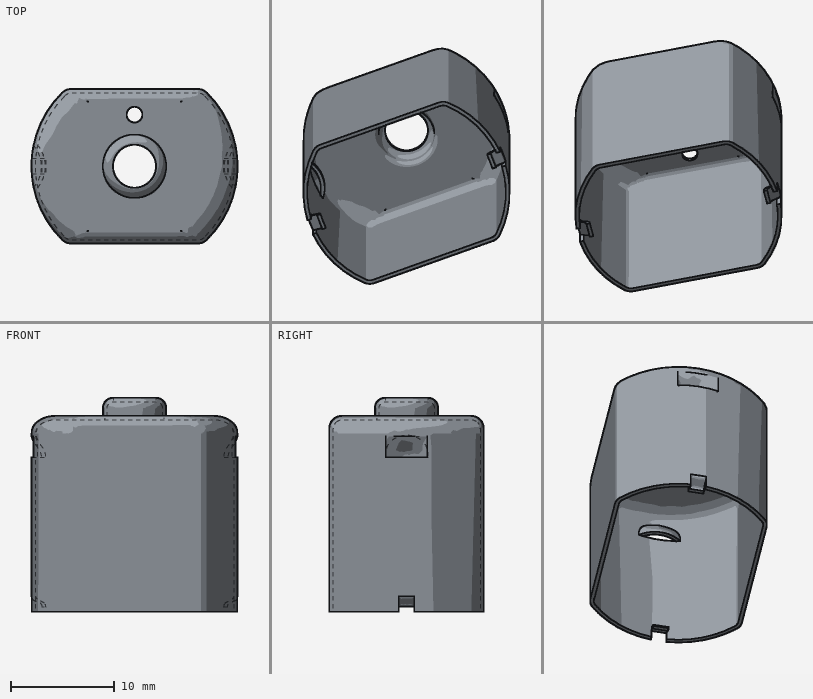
import cadquery as cq
import math

SHEET = 0.375
ROUND_RADIUS = 10.0
FLAT_HALF_WIDTH = 7.5
CAN_HEIGHT = 19.0
CORNER_RADIUS = 1.25
FLAT_SHOULDER = CORNER_RADIUS
ROUND_SHOULDER_WIDTH = 2.3
ROUND_SHOULDER_HEIGHT = 1.7

BOSS_DIAMETER = 6.15
BOSS_TOP = 20.75
BOSS_ROUNDING = 1.0
BOSS_INNER_FLARE = 0.5
SMALL_HOLE_DIAMETER = 1.5
SMALL_HOLE_Y = 5.0

LOUVRE_WIDTH = 4.0
LOUVRE_BOTTOM = 15.0
LOUVRE_TOP = 17.0
LOUVRE_DEPTH = 0.95
LOUVRE_UPPER_BEND_Z = 16.4
LOUVRE_UPPER_BEND_DEPTH = 0.28
LOUVRE_LOWER_BEND_Z = 15.7
LOUVRE_LOWER_BEND_DEPTH = 0.75

TAB_WIDTH = 1.5
TAB_TOP = 1.5
TAB_BOTTOM = 0.5
TAB_DEPTH = 1.0

BEND_LIFT = 0.4


def straight_walls(inset):
    """Prism with two round sides, two flat sides and sharp corners."""
    radius = ROUND_RADIUS - inset
    half_width = FLAT_HALF_WIDTH - inset
    flat_end = math.sqrt(radius**2 - half_width**2)
    return (
        cq.Workplane("XY")
        .moveTo(-flat_end, -half_width)
        .lineTo(flat_end, -half_width)
        .threePointArc((radius, 0), (flat_end, half_width))
        .lineTo(-flat_end, half_width)
        .threePointArc((-radius, 0), (-flat_end, -half_width))
        .close()
        .extrude(CAN_HEIGHT - inset)
    )


def round_shoulder_limit(inset):
    """Turned envelope with an elliptical shoulder over the round sides."""
    radius = ROUND_RADIUS - inset
    top = CAN_HEIGHT - inset
    width = ROUND_SHOULDER_WIDTH - inset
    height = ROUND_SHOULDER_HEIGHT - inset
    return (
        cq.Workplane("XZ")
        .lineTo(radius, 0)
        .lineTo(radius, top - height)
        .ellipseArc(width, height, 0, 90, startAtCurrent=True)
        .lineTo(0, top)
        .close()
        .revolve(360, (0, 0), (0, 1))
    )


def flat_shoulder_limit(inset):
    """Long bar whose top edges carry the shoulder of the flat sides."""
    top = CAN_HEIGHT - inset
    return (
        cq.Workplane("XY")
        .box(2 * ROUND_RADIUS, 2 * (FLAT_HALF_WIDTH - inset), top, centered=(True, True, False))
        .edges("|X and >Z")
        .fillet(FLAT_SHOULDER - inset)
    )


def envelope(inset):
    """Solid can shape, pulled in on its sides and top by the inset."""
    limited = (
        straight_walls(inset)
        .intersect(round_shoulder_limit(inset))
        .intersect(flat_shoulder_limit(inset))
    )
    return limited.edges("|Z").fillet(CORNER_RADIUS - inset)


def boss_form(inset):
    """Round-topped bearing boss about Z, standing on the underside of the can top."""
    ceiling = CAN_HEIGHT - SHEET
    return (
        cq.Workplane("XY", origin=(0, 0, ceiling))
        .circle(BOSS_DIAMETER / 2 - inset)
        .extrude(BOSS_TOP - inset - ceiling)
        .faces(">Z")
        .edges()
        .fillet(BOSS_ROUNDING - inset)
    )


def add_bearing_boss(can):
    """Hollow boss whose bore flares out smoothly where it meets the ceiling."""
    can = can.union(boss_form(0)).cut(boss_form(SHEET))
    ceiling = CAN_HEIGHT - SHEET
    bore_radius = BOSS_DIAMETER / 2 - SHEET
    flare_radius = bore_radius + BOSS_INNER_FLARE
    flare_top = ceiling + BOSS_INNER_FLARE
    flare = (
        cq.Workplane("XZ")
        .moveTo(0, ceiling)
        .lineTo(flare_radius, ceiling)
        .radiusArc((bore_radius, flare_top), BOSS_INNER_FLARE)
        .lineTo(0, flare_top)
        .close()
        .revolve(360, (0, 0), (0, 1))
    )
    bearing_hole = upright_cylinder(BOSS_DIAMETER - 2 * BOSS_ROUNDING, 0)
    return can.cut(flare).cut(bearing_hole)


def upright_cylinder(diameter, y):
    """Cutter through the top of the can."""
    return (
        cq.Workplane("XY", origin=(0, y, CAN_HEIGHT / 2))
        .circle(diameter / 2)
        .extrude(CAN_HEIGHT)
    )


def chord_distance(half_width):
    """Distance from the can axis to a chord across a round side."""
    return math.sqrt(ROUND_RADIUS**2 - half_width**2)


def louvre_form(skin):
    """Pressed-in volume of the +X louvre, enlarged inward by the skin thickness.

    Every level has the same mouth chord, bowed deeper toward the bottom.
    """
    half_width = LOUVRE_WIDTH / 2 + skin
    mouth_x = chord_distance(half_width)
    outside_x = ROUND_RADIUS + SHEET
    lift = BEND_LIFT * skin
    levels = [
        (LOUVRE_BOTTOM, LOUVRE_DEPTH),
        (LOUVRE_LOWER_BEND_Z + lift, LOUVRE_LOWER_BEND_DEPTH),
        (LOUVRE_UPPER_BEND_Z + lift, LOUVRE_UPPER_BEND_DEPTH),
        (LOUVRE_TOP + lift, 0),
    ]
    sections = []
    for z, depth in levels:
        outline = (
            cq.Workplane("XY", origin=(0, 0, z))
            .moveTo(outside_x, -half_width)
            .lineTo(outside_x, half_width)
            .lineTo(mouth_x, half_width)
            .threePointArc((ROUND_RADIUS - depth - skin, 0), (mouth_x, -half_width))
            .close()
        )
        sections.append(outline.val())
    return cq.Workplane(cq.Solid.makeLoft(sections))


def rim_tab():
    """S-bent strip at the +X rim, dropping inward from the top of its slot."""
    outer_x = chord_distance(TAB_WIDTH / 2)
    inner_x = ROUND_RADIUS - SHEET
    inner_top = TAB_TOP + BEND_LIFT * SHEET
    down = (0, -1)
    up = (0, 1)
    return (
        cq.Workplane("XZ", origin=(0, TAB_WIDTH / 2, 0))
        .moveTo(outer_x, TAB_TOP)
        .spline([(outer_x - TAB_DEPTH, TAB_BOTTOM)], tangents=[down, down], includeCurrent=True)
        .lineTo(inner_x - TAB_DEPTH, TAB_BOTTOM)
        .spline([(inner_x, inner_top)], tangents=[up, up], includeCurrent=True)
        .lineTo(outer_x, inner_top)
        .close()
        .extrude(TAB_WIDTH)
    )


def both_ends(feature):
    """The +X feature together with its half-turn copy on the -X side."""
    return feature, feature.rotate((0, 0, 0), (0, 0, 1), 180)


def add_louvres(can):
    """Skin of each louvre added inside the wall, then its hollow cut open below."""
    within_can = envelope(0)
    for hood in both_ends(louvre_form(SHEET)):
        can = can.union(hood.intersect(within_can))
    for hollow in both_ends(louvre_form(0)):
        can = can.cut(hollow)
    return can


def add_rim_tabs(can):
    """Slots at the rim on both round sides, each with its bent-in tab."""
    slot = cq.Workplane("XY").box(
        2 * (ROUND_RADIUS + SHEET), TAB_WIDTH, TAB_TOP, centered=(True, True, False)
    )
    can = can.cut(slot)
    for tab in both_ends(rim_tab()):
        can = can.union(tab)
    return can


def build_can():
    """Thin-walled can, open at the bottom, with all its pressed features."""
    can = envelope(0).cut(envelope(SHEET))
    can = add_bearing_boss(can)
    can = can.cut(upright_cylinder(SMALL_HOLE_DIAMETER, SMALL_HOLE_Y))
    can = add_louvres(can)
    return add_rim_tabs(can)


result = build_can()